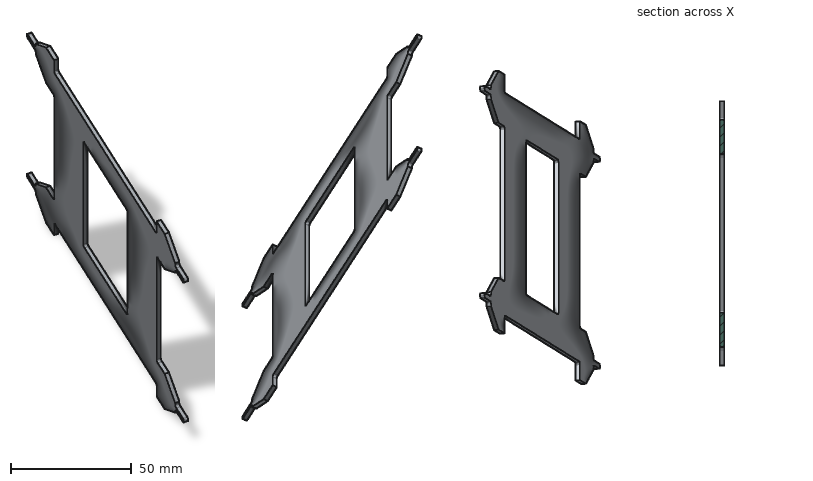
import cadquery as cq

overall_length = 151.0
overall_height = 109.5
thickness = 2.0

body_width = 98.4
body_height = 94.1
window_width = 42.4

pad_height = 22.0
pad_flat_length = 7.8
neck_height = 6.0
tongue_length = 8.5
tongue_height = 2.2

corner_radius = 1.0
tongue_radius = 1.0

body_side_x = body_width / 2
body_top_z = body_height / 2
tip_x = overall_length / 2
neck_x = tip_x - tongue_length
pad_flat_x = body_side_x + pad_flat_length
pad_top_z = overall_height / 2
pad_bottom_z = pad_top_z - pad_height
pad_middle_z = pad_top_z - pad_height / 2
neck_top_z = pad_middle_z + neck_height / 2
neck_bottom_z = pad_middle_z - neck_height / 2
tongue_top_z = pad_middle_z + tongue_height / 2
tongue_bottom_z = pad_middle_z - tongue_height / 2

window_height = 2 * pad_bottom_z


def extrude_flat(outline):
    """Give a closed XZ outline the plate thickness, centred on Y = 0."""
    return outline.extrude(thickness / 2, both=True)


def quarter_plate():
    """One quarter of the solid plate: body, tapered pad and tongue, with sharp corners."""
    corners = [
        (0, 0),
        (0, body_top_z),
        (body_side_x, body_top_z),
        (body_side_x, pad_top_z),
        (pad_flat_x, pad_top_z),
        (neck_x, neck_top_z),
        (neck_x, tongue_top_z),
        (tip_x, tongue_top_z),
        (tip_x, tongue_bottom_z),
        (neck_x, tongue_bottom_z),
        (neck_x, neck_bottom_z),
        (pad_flat_x, pad_bottom_z),
        (body_side_x, pad_bottom_z),
        (body_side_x, 0),
    ]
    return extrude_flat(cq.Workplane("XZ").polyline(corners).close())


def round_corners(solid, corners, radius):
    """Fillet the through-thickness edges standing at the given (x, z) corners."""
    for x, z in corners:
        solid = solid.edges(cq.selectors.NearestToPointSelector((x, 0, z))).fillet(radius)
    return solid


def rounded_quarter():
    """Quarter plate with its inside corners and its tongue rounded."""
    frame_corners = [(body_side_x, body_top_z), (body_side_x, pad_bottom_z)]
    tongue_corners = [
        (x, z) for x in (neck_x, tip_x) for z in (tongue_top_z, tongue_bottom_z)
    ]
    quarter = round_corners(quarter_plate(), frame_corners, corner_radius)
    return round_corners(quarter, tongue_corners, tongue_radius)


def window():
    """Central opening with rounded corners."""
    block = extrude_flat(cq.Workplane("XZ").rect(window_width, window_height))
    return block.edges("|Y").fillet(corner_radius)


quarter = rounded_quarter()
upper_half = quarter.union(quarter.mirror("YZ"))
full_plate = upper_half.union(upper_half.mirror("XY")).clean()
result = full_plate.cut(window())